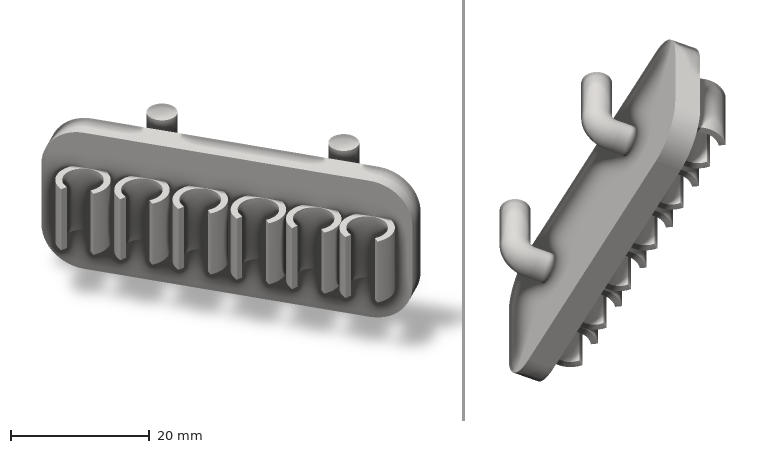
import cadquery as cq
import math

plate_length = 55.95
plate_height = 23.35
plate_thickness = 4.0
corner_radius = 6.45

clip_outer_radius = 8.0 / 2
clip_inner_radius = 6.0 / 2
clip_axis_offset = 3.1
clip_bottom = -4.8
clip_height = 10.45
clip_centres = (-20.75, -11.85, -3.1, 5.7, 14.05, 22.1)
left_opening = math.radians(34)
right_opening = math.radians(39)

peg_diameter = 4.5
peg_centres = (-12.65, 14.8)
peg_axis_height = 1.35
peg_reach = 5.25
peg_top = 11.25
bend_radius = 2.45


def make_plate():
    plate = cq.Workplane("XY").box(plate_length, plate_thickness, plate_height)
    plate = plate.edges("|Y").fillet(corner_radius)
    return plate.translate((0, plate_thickness / 2, 0))


def make_clip(centre_x):
    """C-shaped clip with radial end faces and its mouth facing -Y."""

    def rim_point(radius, angle):
        return (
            centre_x + radius * math.sin(angle),
            -clip_axis_offset - radius * math.cos(angle),
        )

    def back_point(radius):
        return (centre_x, radius - clip_axis_offset)

    return (
        cq.Workplane("XY", origin=(0, 0, clip_bottom))
        .moveTo(*rim_point(clip_outer_radius, -left_opening))
        .threePointArc(back_point(clip_outer_radius), rim_point(clip_outer_radius, right_opening))
        .lineTo(*rim_point(clip_inner_radius, right_opening))
        .threePointArc(back_point(clip_inner_radius), rim_point(clip_inner_radius, -left_opening))
        .close()
        .extrude(clip_height)
    )


def make_peg(centre_x):
    """Round bar leaving the plate along +Y and bending upright."""
    root_y = plate_thickness / 2
    upright_y = plate_thickness + peg_reach
    bend_start_y = upright_y - bend_radius
    bend_end_z = peg_axis_height + bend_radius
    bend_mid = (
        bend_start_y + bend_radius * math.sin(math.pi / 4),
        bend_end_z - bend_radius * math.cos(math.pi / 4),
    )
    path = (
        cq.Workplane("YZ", origin=(centre_x, 0, 0))
        .moveTo(root_y, peg_axis_height)
        .lineTo(bend_start_y, peg_axis_height)
        .threePointArc(bend_mid, (upright_y, bend_end_z))
        .lineTo(upright_y, peg_top)
    )
    return (
        cq.Workplane("XZ", origin=(centre_x, root_y, peg_axis_height))
        .circle(peg_diameter / 2)
        .sweep(path)
    )


result = make_plate()
for clip_x in clip_centres:
    result = result.union(make_clip(clip_x))
for peg_x in peg_centres:
    result = result.union(make_peg(peg_x))